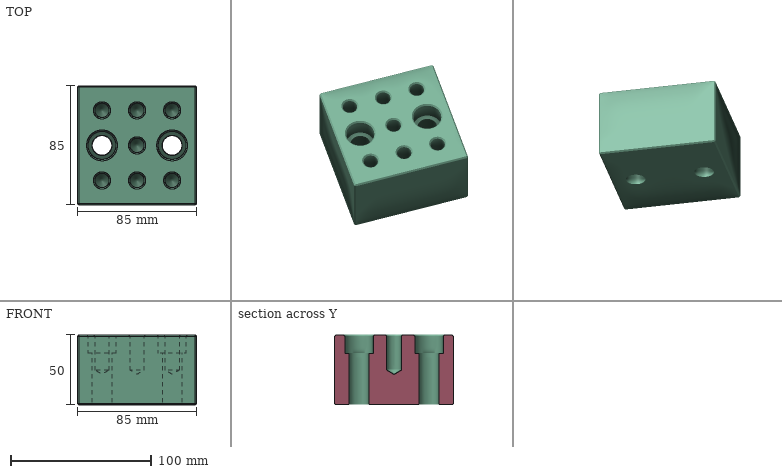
import cadquery as cq
import math

side = 85.0
height = 50.0
edge_chamfer = 1.0

pitch = 25.0

blind_diameter = 10.2
blind_depth = height / 2
drill_point_angle = 118.0
mouth_chamfer = 1.0

through_diameter = 14.0
counterbore_diameter = 20.0
counterbore_depth = 13.0

grid_steps = (-1, 0, 1)


def revolved_cutter(profile):
    """Turn a half profile of (radius, height) points about the Z axis."""
    return cq.Workplane("XZ").polyline(profile).close().revolve(360, (0, 0), (0, 1))


def mouth_profile(radius):
    """Half profile of a chamfered hole mouth, from the axis at the top face down to the bore wall."""
    return [(0, height), (radius + mouth_chamfer, height), (radius, height - mouth_chamfer)]


def blind_hole():
    radius = blind_diameter / 2
    floor = height - blind_depth
    point_depth = radius / math.tan(math.radians(drill_point_angle / 2))
    return revolved_cutter(mouth_profile(radius) + [(radius, floor), (0, floor - point_depth)])


def counterbored_hole():
    radius = counterbore_diameter / 2
    bore_radius = through_diameter / 2
    floor = height - counterbore_depth
    steps = [(radius, floor), (bore_radius, floor), (bore_radius, 0), (0, 0)]
    return revolved_cutter(mouth_profile(radius) + steps)


block = cq.Workplane("XY").box(side, side, height, centered=(True, True, False))
result = block.edges().chamfer(edge_chamfer)

for column in grid_steps:
    for row in grid_steps:
        is_through = row == 0 and column != 0
        hole = counterbored_hole() if is_through else blind_hole()
        result = result.cut(hole.translate((column * pitch, row * pitch, 0)))